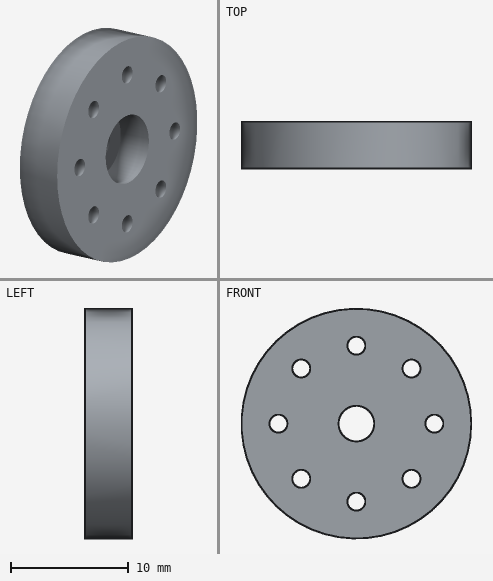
import cadquery as cq

disc_diameter = 19.5
disc_thickness = 4.0

bore_diameter = 3.0
bore_depth = 1.0
counterbore_diameter = 2 * bore_diameter
counterbore_depth = disc_thickness - bore_depth

ring_hole_count = 8
ring_hole_diameter = bore_diameter / 2
ring_radius = 6.61

back_y = disc_thickness / 2


def circle_plane(y):
    """Workplane normal to the disc axis at the given y, facing -Y."""
    return cq.Workplane("XZ", origin=(0, y, 0))


disc = circle_plane(back_y).circle(disc_diameter / 2).extrude(disc_thickness)

bore = circle_plane(back_y).circle(bore_diameter / 2).extrude(disc_thickness)
counterbore = circle_plane(back_y).circle(counterbore_diameter / 2).extrude(counterbore_depth)

ring_holes = (
    circle_plane(back_y)
    .polarArray(ring_radius, 0, 360, ring_hole_count, rotate=False)
    .circle(ring_hole_diameter / 2)
    .extrude(disc_thickness)
)

result = disc.cut(bore).cut(counterbore).cut(ring_holes)